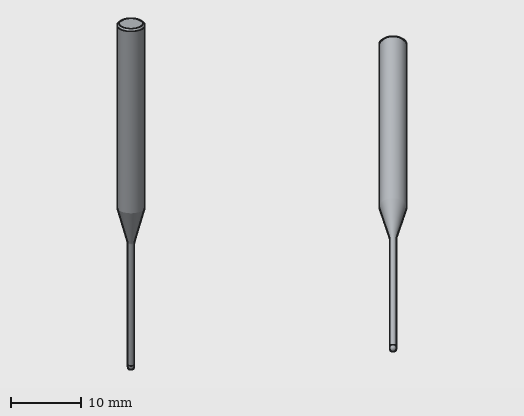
import cadquery as cq
import math

overall_length = 55.0
shank_diameter = 4.0
shank_chamfer = 0.3
cutting_diameter = 1.0
cutting_length = 0.8
neck_end = 20.2
taper_half_angle = 15.0
neck_blend_radius = 0.6

shank_radius = shank_diameter / 2
ball_radius = cutting_diameter / 2
neck_radius = cutting_diameter / 2
taper_end = neck_end + (shank_radius - neck_radius) / math.tan(math.radians(taper_half_angle))

blend_tangent = neck_blend_radius * math.tan(math.radians(taper_half_angle / 2))


def blend_point(angle):
    """Point of the neck blend at the given slope angle, as (radius, height)."""
    slope = math.radians(angle)
    return (
        neck_radius + neck_blend_radius * (1 - math.cos(slope)),
        neck_end - blend_tangent + neck_blend_radius * math.sin(slope),
    )


def turned(profile):
    """Revolve a closed (radius, height) profile a full turn about the Z axis."""
    return profile.revolve(360, (0, 0), (0, 1))


def make_cutting_head():
    """Ball nose with a short cylindrical land behind it."""
    ball_middle = ball_radius * math.sqrt(0.5)
    profile = (
        cq.Workplane("XZ")
        .moveTo(0, 0)
        .threePointArc((ball_middle, ball_radius - ball_middle), (ball_radius, ball_radius))
        .lineTo(ball_radius, cutting_length)
        .lineTo(0, cutting_length)
        .close()
    )
    return turned(profile)


def make_shank():
    """Neck, blended taper and chamfered cylindrical shank in one body."""
    profile = (
        cq.Workplane("XZ")
        .moveTo(0, cutting_length)
        .lineTo(neck_radius, cutting_length)
        .lineTo(*blend_point(0))
        .threePointArc(blend_point(taper_half_angle / 2), blend_point(taper_half_angle))
        .lineTo(shank_radius, taper_end)
        .lineTo(shank_radius, overall_length - shank_chamfer)
        .lineTo(shank_radius - shank_chamfer, overall_length)
        .lineTo(0, overall_length)
        .close()
    )
    return turned(profile)


cutting_head = make_cutting_head()
shank = make_shank()

result = cq.Compound.makeCompound([shank.val(), cutting_head.val()])